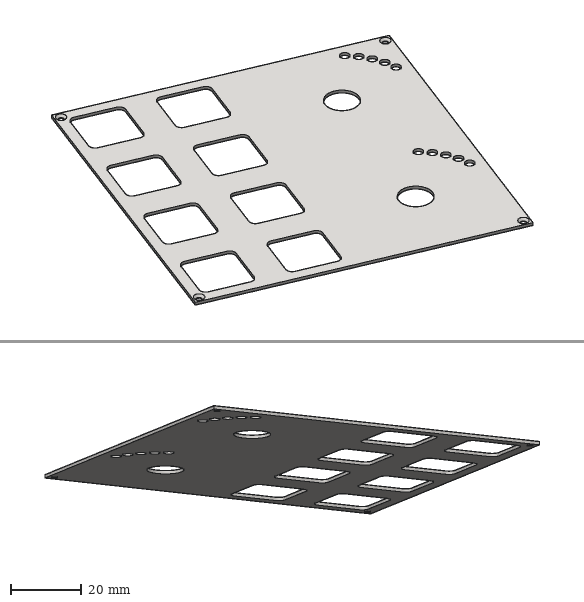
import cadquery as cq
import math

PLATE_SIDE = 104.35
PLATE_THICKNESS = 1.0

GRID_PITCH = 26.75
BUTTON_COLUMNS = 4
BUTTON_ROWS = 2
BUTTON_SIDE = 17.0
BUTTON_CORNER_RADIUS = 2.0

KNOB_DIAMETER = 10.5
KNOB_CENTERS = [(-GRID_PITCH, GRID_PITCH), (GRID_PITCH, GRID_PITCH)]
LIGHT_DIAMETER = 3.0
LIGHT_COUNT = 5
LIGHT_ARC_RADIUS = 23.0
LIGHT_ARC_MIDDLE_ANGLE = 135.0
LIGHT_ANGLE_STEP = 10.0

SCREW_SPACING = 100.2
SCREW_DIAMETER = 1.75
SCREW_HEAD_DIAMETER = 3.25
SCREW_HEAD_ANGLE = 90.0


def make_plate():
    return cq.Workplane("XY").box(
        PLATE_SIDE, PLATE_SIDE, PLATE_THICKNESS, centered=(True, True, False)
    )


def button_centers():
    """Button columns straddle the Y axis; the rows step down from half a pitch below the X axis."""
    first_x = -GRID_PITCH * (BUTTON_COLUMNS - 1) / 2
    first_y = -GRID_PITCH / 2
    return [
        (first_x + column * GRID_PITCH, first_y - row * GRID_PITCH)
        for column in range(BUTTON_COLUMNS)
        for row in range(BUTTON_ROWS)
    ]


def light_centers(knob_center):
    """Light holes evenly spaced on an arc about one knob."""
    knob_x, knob_y = knob_center
    first_angle = LIGHT_ARC_MIDDLE_ANGLE - LIGHT_ANGLE_STEP * (LIGHT_COUNT - 1) / 2
    centers = []
    for index in range(LIGHT_COUNT):
        angle = math.radians(first_angle + index * LIGHT_ANGLE_STEP)
        x = knob_x + LIGHT_ARC_RADIUS * math.cos(angle)
        y = knob_y + LIGHT_ARC_RADIUS * math.sin(angle)
        centers.append((x, y))
    return centers


def make_button_cutters():
    return (
        cq.Workplane("XY")
        .pushPoints(button_centers())
        .rect(BUTTON_SIDE, BUTTON_SIDE)
        .extrude(PLATE_THICKNESS)
        .edges("|Z")
        .fillet(BUTTON_CORNER_RADIUS)
    )


def make_round_cutters(centers, diameter):
    return cq.Workplane("XY").pushPoints(centers).circle(diameter / 2).extrude(PLATE_THICKNESS)


def cut_screw_holes(plate):
    return (
        plate.faces(">Z")
        .workplane(origin=(0, 0, PLATE_THICKNESS))
        .rarray(SCREW_SPACING, SCREW_SPACING, 2, 2)
        .cskHole(SCREW_DIAMETER, SCREW_HEAD_DIAMETER, SCREW_HEAD_ANGLE)
    )


result = make_plate().cut(make_button_cutters())
result = result.cut(make_round_cutters(KNOB_CENTERS, KNOB_DIAMETER))
for knob_center in KNOB_CENTERS:
    result = result.cut(make_round_cutters(light_centers(knob_center), LIGHT_DIAMETER))
result = cut_screw_holes(result)